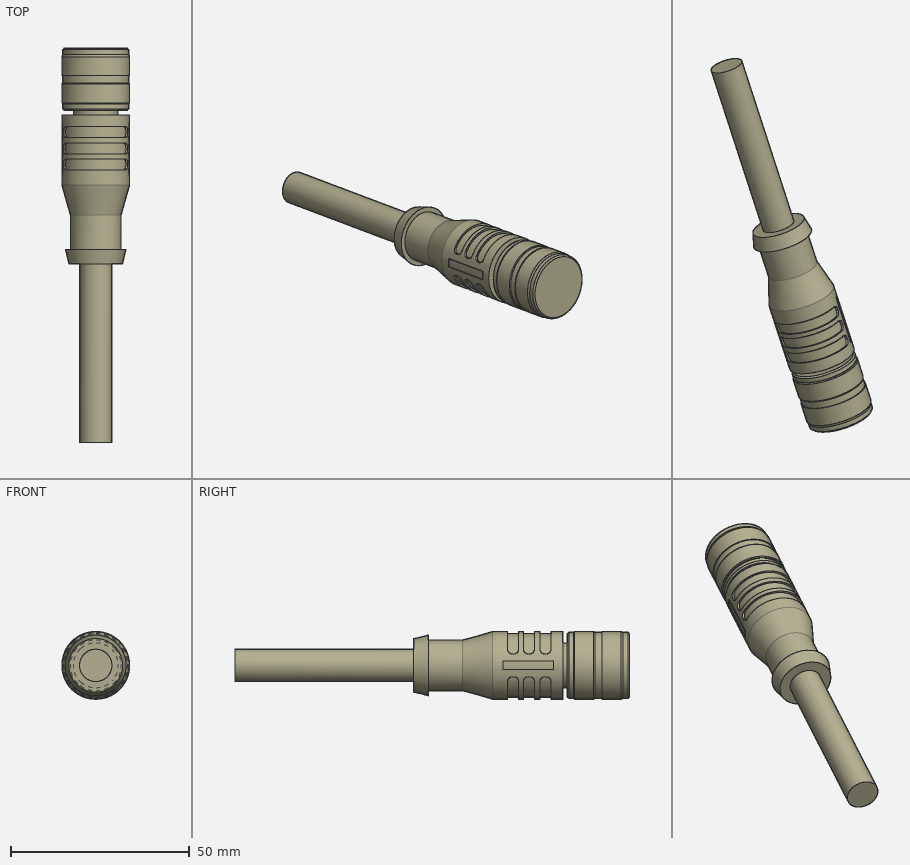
import cadquery as cq

LENGTH = 110.3
MATING_END = LENGTH / 2

BODY_D = 19.0
COLLAR_D = 18.5
EDGE_CHAMFER = 0.4
COLLAR_EDGE_D = COLLAR_D - 2 * EDGE_CHAMFER
DIP_D = 18.0
COUPLING_NECK_D = 12.6
SLEEVE_D = 14.2
FLANGE_D = 17.0
FLANGE_END_D = 15.0
CABLE_D = 9.0

FRONT_COLLAR_END = 1.8
FRONT_BAND_START = 2.4
FRONT_BAND_END = 7.7
RELIEF_END = 9.7
REAR_BAND_START = 10.0
REAR_BAND_END = 15.3
REAR_DIP = 15.7
NUT_END = 17.4
GRIP_START = 18.6
GRIP_END = 38.3
SLEEVE_START = 46.7
FLANGE_START = 56.3
FLANGE_END = 60.3

GROOVE_CENTERS = (23.5, 28.1, 32.5)
GROOVE_WIDTH = 3.1
GROOVE_FLOOR_D = 18.0
GROOVE_END_Z = 3.2
GROOVE_CORNER_R = 1.3

POCKET_START = 21.3
POCKET_END = 35.4
POCKET_HEIGHT = 2.4
POCKET_DEPTH = 0.2
POCKET_FLOOR_D = BODY_D - 2 * POCKET_DEPTH

CUTTER_SPAN = 2 * BODY_D


def y_at(distance):
    """Y coordinate at a distance back from the mating end."""
    return MATING_END - distance


def connector_body():
    """Nut, grip, strain relief and cable turned about the Y axis."""
    stations = [
        (0, COLLAR_EDGE_D),
        (EDGE_CHAMFER, COLLAR_D),
        (FRONT_COLLAR_END, COLLAR_D),
        (FRONT_BAND_START, BODY_D),
        (FRONT_BAND_END, BODY_D),
        (FRONT_BAND_END, COLLAR_D),
        (RELIEF_END, COLLAR_D),
        (REAR_BAND_START, BODY_D),
        (REAR_BAND_END, BODY_D),
        (REAR_DIP, DIP_D),
        (REAR_DIP, COLLAR_D),
        (NUT_END - EDGE_CHAMFER, COLLAR_D),
        (NUT_END, COLLAR_EDGE_D),
        (NUT_END, COUPLING_NECK_D),
        (GRIP_START, COUPLING_NECK_D),
        (GRIP_START, BODY_D),
        (GRIP_END, BODY_D),
        (SLEEVE_START, SLEEVE_D),
        (FLANGE_START, SLEEVE_D),
        (FLANGE_START, FLANGE_D),
        (FLANGE_END, FLANGE_END_D),
        (FLANGE_END, CABLE_D),
        (LENGTH, CABLE_D),
    ]
    outline = [(diameter / 2, y_at(distance)) for distance, diameter in stations]
    axis_ends = [(0, y_at(LENGTH)), (0, y_at(0))]
    profile = cq.Workplane("XY").polyline(outline + axis_ends).close()
    return profile.revolve(360, (0, 0, 0), (0, 1, 0))


def ring_outside(floor_diameter):
    """Ring along the grip holding everything outside the floor diameter."""
    plane = cq.Workplane("XZ", origin=(0, y_at(GRIP_START), 0))
    return plane.circle(CUTTER_SPAN / 2).circle(floor_diameter / 2).extrude(GRIP_END - GRIP_START)


def finger_groove(center, side):
    """One groove over the top (side 1) or under the bottom (side -1), with rounded ends."""
    block = (
        cq.Workplane("XY")
        .box(CUTTER_SPAN, GROOVE_WIDTH, CUTTER_SPAN)
        .translate((0, y_at(center), side * (GROOVE_END_Z + CUTTER_SPAN / 2)))
        .faces("<Z" if side > 0 else ">Z")
        .edges("|X")
        .fillet(GROOVE_CORNER_R)
    )
    return block.intersect(ring_outside(GROOVE_FLOOR_D))


def side_pockets():
    """Rectangular pockets facing -X and +X."""
    block = (
        cq.Workplane("XY")
        .box(CUTTER_SPAN, POCKET_END - POCKET_START, POCKET_HEIGHT)
        .translate((0, y_at((POCKET_START + POCKET_END) / 2), 0))
    )
    return block.intersect(ring_outside(POCKET_FLOOR_D))


result = connector_body().cut(side_pockets())
for groove_center in GROOVE_CENTERS:
    for groove_side in (1, -1):
        result = result.cut(finger_groove(groove_center, groove_side))